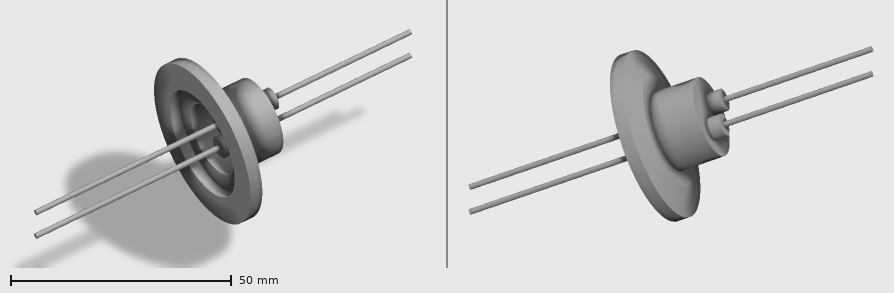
import cadquery as cq

flange_diameter = 39.9
rim_thickness = 3.1
cone_end = 5.0
cone_small_diameter = 26.2

body_diameter = 18.9
body_end = 15.7
wall_thickness = 0.7
bore_diameter = body_diameter - 2 * wall_thickness
end_wall_thickness = 1.5
recess_diameter = 26.6
recess_depth = 2.6

conductor_spacing = 7.8
conductor_diameter = 1.3
conductor_length = 101.6
conductor_front = -45.2
insulator_diameter = 5.3
insulator_front = 4.4
insulator_end = 19.1
insulator_chamfer = 0.3


def cylinder_along_y(diameter, start, end, z=0.0):
    """Solid cylinder parallel to Y at height z, from Y = start to Y = end."""
    plane = cq.Plane(origin=(0, start, z), xDir=(1, 0, 0), normal=(0, 1, 0))
    return cq.Workplane(plane).circle(diameter / 2).extrude(end - start)


def make_housing():
    """Flange with a conical back and a cup-shaped body, revolved about Y."""
    blank = (
        cq.Workplane("XY")
        .lineTo(flange_diameter / 2, 0)
        .lineTo(flange_diameter / 2, rim_thickness)
        .lineTo(cone_small_diameter / 2, cone_end)
        .lineTo(body_diameter / 2, cone_end)
        .lineTo(body_diameter / 2, body_end)
        .lineTo(0, body_end)
        .close()
        .revolve(360, (0, 0, 0), (0, 1, 0))
    )
    recess = cylinder_along_y(recess_diameter, 0, recess_depth)
    bore = cylinder_along_y(bore_diameter, 0, body_end - end_wall_thickness)
    return blank.cut(recess).cut(bore)


def make_conductor(z):
    """Thin rod in an insulator whose front edge is chamfered."""
    insulator = cylinder_along_y(insulator_diameter, insulator_front, insulator_end, z)
    insulator = insulator.faces("<Y").chamfer(insulator_chamfer)
    rod = cylinder_along_y(
        conductor_diameter, conductor_front, conductor_front + conductor_length, z
    )
    return insulator.union(rod)


result = make_housing()
for side in (-1, 1):
    result = result.union(make_conductor(side * conductor_spacing / 2))